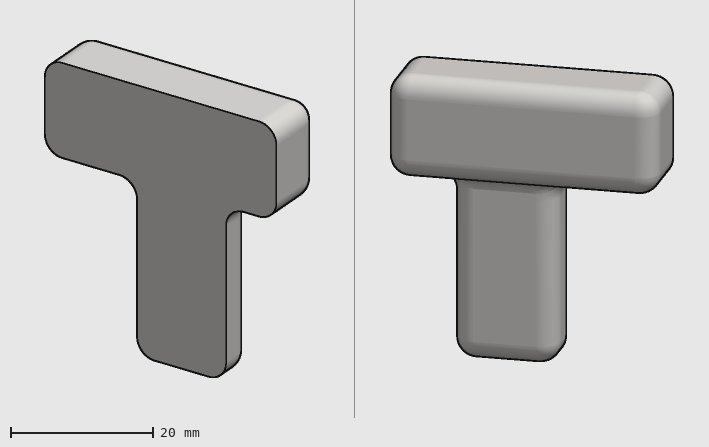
import cadquery as cq

total_width = 39.0
total_height = 42.6
head_height = 15.0
head_depth = 10.5
stem_width = 15.0
stem_depth = 6.0
stem_left = 15.5
edge_radius = 3.0
seam_radius = 2.0

head_bottom = total_height - head_height
stem_right = stem_left + stem_width


def head():
    """Thick crossbar with its flat front face on Y = 0."""
    block = cq.Workplane("XY").box(total_width, head_depth, head_height, centered=False)
    return block.edges("|Y or >Y").fillet(edge_radius).translate((0, 0, head_bottom))


def thin_plate():
    """T-shaped plate of stem depth, with its rounded outline running on into the head."""
    outline = [
        (0, total_height),
        (0, head_bottom),
        (stem_left, head_bottom),
        (stem_left, 0),
        (stem_right, 0),
        (stem_right, head_bottom),
        (total_width, head_bottom),
        (total_width, total_height),
    ]
    plate = cq.Workplane("XZ").polyline(outline).close().extrude(-stem_depth)
    return plate.edges("|Y").fillet(edge_radius).faces(">Y").edges().fillet(edge_radius)


body = head().union(thin_plate())

seam_margin = 0.2
seam_box = cq.selectors.BoxSelector(
    (stem_left - edge_radius, edge_radius + seam_margin, head_bottom - seam_margin),
    (stem_right + edge_radius, head_depth, head_bottom + seam_margin),
)
result = body.edges(seam_box).fillet(seam_radius)